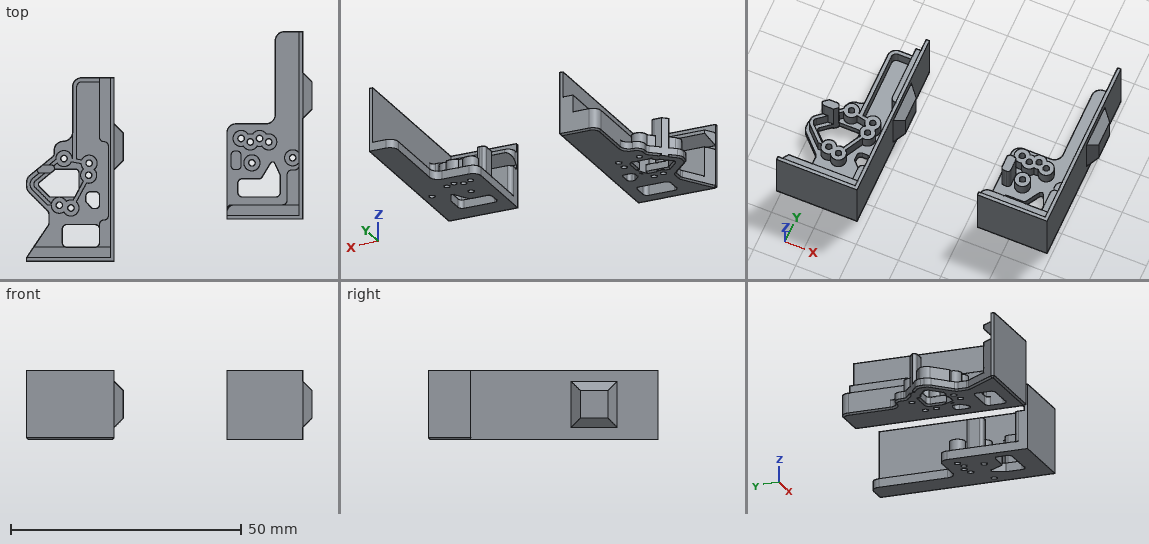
import cadquery as cq
import math

WALL_HEIGHT = 15.0
FLOOR = 2.0
BOSS_TOP = 5.0
LEDGE_TOP = 9.0
WALL = 0.8
FRONT_LEDGE = 3.1

TINY = 1e-6

CORNER_R = 2.0
SMALL_R = 1.0
BOSS_D = 3.5
PILOT_D = 1.35

LIP_TOP = 13.0
LIP_EDGE = 0.8

KNOB_BASE = 10.0
KNOB_TIP = 6.0
KNOB_HEIGHT = 2.0
KNOB_Z = 7.65

LEFT_WIDTH = 19.05
LEFT_LENGTH = 39.9
LEFT_CHAMFER = 0.4
LEFT_STRIP_X = 10.0
LEFT_KNOB_Y = 24.9
SHOULDER_X = 6.0
SHOULDER_Y = 26.1
NOSE_TOP_Y = 18.1
NOSE_BOTTOM_Y = 15.55
NOSE_SLOPE = 0.817
WAIST_X = 4.85
WAIST_Y = 8.05

LEFT_LEDGE_X = 15.85
LEFT_LEDGE_RECESS_X = 17.8
LEFT_LEDGE_RECESS_Y = (9.0, 26.0)
RIB = 0.8
RIM = 0.9
NOSE_RIB_INSET = 0.9
NOSE_RIB_R = 1.75
NOSE_OPENING_INSET = 2.5
NOSE_OPENING_R = 0.6
NOSE_OPENING_CORNER_R = 0.7
NOSE_OPENING_X = 11.35
NOSE_OPENING_Y = (14.0, 20.0)
WINDOW_X = 7.8
WINDOW_Y = 8.0
LEFT_POST_SIZE = (3.8, 1.8)
LEFT_POST_CENTER = (4.2, 20.05)
POST_R = 0.75
LEFT_BOSSES = {
    "shoulder": (8.14, 22.33),
    "upper": (13.6, 21.33),
    "middle": (13.5, 18.72),
    "lower": (9.65, 11.6),
    "nose": (7.13, 12.2),
}
SMALL_WINDOW = [
    (12.9, 15.1, 1.0), (LEFT_LEDGE_X, 15.1, 0.8), (LEFT_LEDGE_X, 11.5, 0.8),
    (14.3, 11.5, 0.3), (12.9, 12.95, 0.3),
]

RIGHT_ORIGIN = (43.5, 9.2)
RIGHT_WIDTH = 16.5
RIGHT_LENGTH = 40.7
RIGHT_STRIP_X = 10.5
RIGHT_SHOULDER_Y = 20.7
RIGHT_KNOB_Y = 26.8
RIGHT_LEDGE_X = 13.1
RIGHT_LEDGE_END_Y = 10.65
RIGHT_LIP_R = 1.7
RIGHT_BOSSES = [(3.1, 17.5), (5.1, 16.75), (7.1, 17.5), (9.1, 16.75), (5.45, 12.2), (14.3, 13.3)]
RIGHT_POST_SIZE = (2.1, 4.0)
RIGHT_POST_CENTER = (2.0, 12.75)
RIGHT_WINDOW = [
    (2.4, 4.8, 1.0), (11.6, 4.8, 1.0), (11.6, 9.5, 0.5),
    (10.0, 12.95, 0.5), (7.45, 8.75, 0.5), (2.4, 8.75, 1.0),
]


def rounded_polygon(corners):
    """Closed outline through (x, y, radius) corners; radius 0 leaves a corner sharp."""
    ends = []
    count = len(corners)
    for i, (x, y, radius) in enumerate(corners):
        corner = cq.Vector(x, y)
        before = (cq.Vector(*corners[i - 1][:2]) - corner).normalized()
        after = (cq.Vector(*corners[(i + 1) % count][:2]) - corner).normalized()
        if radius == 0:
            ends.append((corner, None, corner))
            continue
        half_angle = before.getAngle(after) / 2
        setback = radius / math.tan(half_angle)
        bulge = radius / math.sin(half_angle) - radius
        middle = corner + (before + after).normalized() * bulge
        ends.append((corner + before * setback, middle, corner + after * setback))
    last = ends[0][2]
    outline = cq.Workplane("XY").moveTo(last.x, last.y)
    for start, middle, end in ends[1:] + ends[:1]:
        if (start - last).Length > TINY:
            outline = outline.lineTo(start.x, start.y)
        last = end
        if middle is not None:
            outline = outline.threePointArc((middle.x, middle.y), (end.x, end.y))
    return outline.close()


def prism(corners, bottom, top):
    return rounded_polygon(corners).extrude(top - bottom).translate((0, 0, bottom))


def block(x_range, y_range, bottom, top, radius=0):
    (x0, x1), (y0, y1) = x_range, y_range
    return prism([(x0, y0, radius), (x1, y0, radius), (x1, y1, radius), (x0, y1, radius)], bottom, top)


def add_bosses(shell, centers):
    """Add round bosses and drill a through pilot hole in each."""
    for x, y in centers:
        shell = shell.union(cq.Workplane("XY").center(x, y).circle(BOSS_D / 2).extrude(BOSS_TOP))
    for x, y in centers:
        shell = shell.cut(cq.Workplane("XY").center(x, y).circle(PILOT_D / 2).extrude(BOSS_TOP))
    return shell


def post(center, size):
    x_range = (center[0] - size[0] / 2, center[0] + size[0] / 2)
    y_range = (center[1] - size[1] / 2, center[1] + size[1] / 2)
    return block(x_range, y_range, 0, LEDGE_TOP, POST_R)


def straight_rib(start, end):
    length = math.dist(start, end)
    angle = math.degrees(math.atan2(end[1] - start[1], end[0] - start[0]))
    rib = cq.Workplane("XY").rect(length, RIB).extrude(BOSS_TOP)
    rib = rib.rotate((0, 0, 0), (0, 0, 1), angle)
    return rib.translate(((start[0] + end[0]) / 2, (start[1] + end[1]) / 2, 0))


def walls(width, length, bottom):
    front = block((0, width), (0, WALL), bottom, WALL_HEIGHT)
    side = block((width - WALL, width), (0, length), bottom, WALL_HEIGHT)
    return front.union(side)


def lip(width):
    underside_rise = FRONT_LEDGE - WALL
    edge_bottom = LIP_TOP - LIP_EDGE
    profile = [
        (WALL, LIP_TOP),
        (FRONT_LEDGE, LIP_TOP),
        (FRONT_LEDGE, edge_bottom),
        (WALL, edge_bottom - underside_rise),
    ]
    return cq.Workplane("YZ").polyline(profile).close().extrude(width)


def knob(width, center_y):
    base = cq.Workplane("YZ", origin=(width, center_y, KNOB_Z)).rect(KNOB_BASE, KNOB_BASE)
    return base.workplane(offset=KNOB_HEIGHT).rect(KNOB_TIP, KNOB_TIP).loft(combine=True)


def left_outline():
    flank_y = NOSE_TOP_Y + NOSE_SLOPE * SHOULDER_X
    waist_top_y = NOSE_BOTTOM_Y - WAIST_X
    return [
        (0, 0, 0),
        (LEFT_WIDTH, 0, 0),
        (LEFT_WIDTH, LEFT_LENGTH, 0),
        (LEFT_STRIP_X, LEFT_LENGTH, CORNER_R),
        (LEFT_STRIP_X, SHOULDER_Y, CORNER_R),
        (SHOULDER_X, SHOULDER_Y, CORNER_R),
        (SHOULDER_X, flank_y, SMALL_R),
        (0, NOSE_TOP_Y, CORNER_R),
        (0, NOSE_BOTTOM_Y, CORNER_R),
        (WAIST_X, waist_top_y, SMALL_R),
        (WAIST_X, WAIST_Y, SMALL_R),
        (0, WALL, 0),
    ]


def nose_inset(inset, radius):
    """Wedge between the nose's two flanks, moved inwards by the inset and rounded at its apex."""
    upper = math.atan(NOSE_SLOPE)
    lower = -math.pi / 4
    bisector = (upper + lower) / 2
    apex_x = (NOSE_BOTTOM_Y - NOSE_TOP_Y) / (1 + NOSE_SLOPE)
    apex_y = NOSE_BOTTOM_Y - apex_x
    shift = inset / math.sin((upper - lower) / 2)
    x = apex_x + shift * math.cos(bisector)
    y = apex_y + shift * math.sin(bisector)
    far_ends = [(x + LEFT_LENGTH * math.cos(a), y + LEFT_LENGTH * math.sin(a), 0) for a in (lower, upper)]
    return prism([(x, y, radius), *far_ends], 0, LEDGE_TOP)


def left_ledge():
    recess_start, recess_end = LEFT_LEDGE_RECESS_Y
    recess_r = (LEFT_LEDGE_RECESS_X - LEFT_LEDGE_X) / 2
    return prism([
        (0, WALL, 0),
        (LEFT_WIDTH, WALL, 0),
        (LEFT_WIDTH, LEFT_LENGTH, 0),
        (LEFT_LEDGE_X, LEFT_LENGTH, 0),
        (LEFT_LEDGE_X, recess_end, recess_r),
        (LEFT_LEDGE_RECESS_X, recess_end, recess_r),
        (LEFT_LEDGE_RECESS_X, recess_start, recess_r),
        (LEFT_LEDGE_X, recess_start, recess_r),
        (LEFT_LEDGE_X, FRONT_LEDGE, SMALL_R),
        (0, FRONT_LEDGE, 0),
    ], LEFT_CHAMFER, LEDGE_TOP)


def left_rim():
    """Low wall round the outside of the long strip, from the shoulder rib to the side ledge."""
    start_y = LEFT_BOSSES["shoulder"][1] - RIB / 2
    outside = [(LEFT_STRIP_X, start_y, 0), (LEFT_WIDTH, start_y, 0),
               (LEFT_WIDTH, LEFT_LENGTH, 0), (LEFT_STRIP_X, LEFT_LENGTH, CORNER_R)]
    inner_x = LEFT_STRIP_X + RIM
    inner_y = LEFT_LENGTH - RIM
    inside = [(inner_x, start_y, 0), (LEFT_WIDTH, start_y, 0),
              (LEFT_WIDTH, inner_y, 0), (inner_x, inner_y, CORNER_R - RIM)]
    return prism(outside, LEFT_CHAMFER, BOSS_TOP).cut(prism(inside, LEFT_CHAMFER, BOSS_TOP))


def nose_rib():
    """Rib that follows the nose from the shoulder boss round to the nose boss."""
    rib = nose_inset(NOSE_RIB_INSET, NOSE_RIB_R)
    rib = rib.cut(nose_inset(NOSE_RIB_INSET + RIB, NOSE_RIB_R - RIB))
    x_end = LEFT_BOSSES["shoulder"][0] - RIB
    y_end = LEFT_BOSSES["nose"][1]
    return rib.intersect(block((0, x_end), (y_end, LEFT_LENGTH), 0, BOSS_TOP))


def left_shell():
    footprint = prism(left_outline(), 0, WALL_HEIGHT)
    opening_wedge = nose_inset(NOSE_OPENING_INSET, NOSE_OPENING_R)
    opening_limits = block((0, NOSE_OPENING_X), NOSE_OPENING_Y, 0, FLOOR, NOSE_OPENING_CORNER_R)
    window = block((WINDOW_X, LEFT_LEDGE_X), (FRONT_LEDGE, WINDOW_Y), 0, FLOOR, SMALL_R)
    edge_post = post(LEFT_POST_CENTER, LEFT_POST_SIZE).intersect(footprint)
    edge_post = edge_post.cut(opening_wedge)
    plate = prism(left_outline(), 0, FLOOR).cut(opening_wedge.intersect(opening_limits))
    plate = plate.faces("<Z").edges().chamfer(LEFT_CHAMFER)
    shell = plate.cut(window).cut(prism(SMALL_WINDOW, 0, FLOOR))
    shell = shell.union(walls(LEFT_WIDTH, LEFT_LENGTH, LEFT_CHAMFER))
    shell = shell.union(left_ledge().union(lip(LEFT_WIDTH)).intersect(footprint))
    shell = shell.union(left_rim()).union(nose_rib()).union(edge_post)
    shell = shell.union(straight_rib(LEFT_BOSSES["shoulder"], LEFT_BOSSES["upper"]))
    shell = shell.union(straight_rib(LEFT_BOSSES["middle"], LEFT_BOSSES["lower"]))
    shell = add_bosses(shell, LEFT_BOSSES.values())
    return shell.union(knob(LEFT_WIDTH, LEFT_KNOB_Y))


def right_shell():
    inner_x = RIGHT_WIDTH - WALL
    shell = prism([
        (0, 0, 0),
        (RIGHT_WIDTH, 0, 0),
        (RIGHT_WIDTH, RIGHT_LENGTH, 0),
        (RIGHT_STRIP_X, RIGHT_LENGTH, CORNER_R),
        (RIGHT_STRIP_X, RIGHT_SHOULDER_Y, CORNER_R),
        (0, RIGHT_SHOULDER_Y, CORNER_R),
    ], 0, FLOOR)
    shell = shell.cut(prism(RIGHT_WINDOW, 0, FLOOR))
    ledge = prism([
        (0, 0, 0),
        (RIGHT_WIDTH, 0, 0),
        (RIGHT_WIDTH, RIGHT_LENGTH, 0),
        (inner_x, RIGHT_LENGTH, 0),
        (inner_x, RIGHT_LEDGE_END_Y, SMALL_R),
        (RIGHT_LEDGE_X, RIGHT_LEDGE_END_Y, SMALL_R),
        (RIGHT_LEDGE_X, FRONT_LEDGE, SMALL_R),
        (0, FRONT_LEDGE, SMALL_R),
    ], 0, LEDGE_TOP)
    rounded_lip = lip(RIGHT_WIDTH).intersect(prism([
        (0, 0, 0), (RIGHT_WIDTH, 0, 0), (RIGHT_WIDTH, FRONT_LEDGE, 0), (0, FRONT_LEDGE, RIGHT_LIP_R),
    ], 0, WALL_HEIGHT))
    shell = shell.union(walls(RIGHT_WIDTH, RIGHT_LENGTH, 0)).union(ledge).union(rounded_lip)
    shell = shell.union(post(RIGHT_POST_CENTER, RIGHT_POST_SIZE))
    shell = add_bosses(shell, RIGHT_BOSSES)
    shell = shell.union(knob(RIGHT_WIDTH, RIGHT_KNOB_Y))
    return shell.translate((*RIGHT_ORIGIN, 0))


result = cq.Compound.makeCompound([left_shell().val(), right_shell().val()])